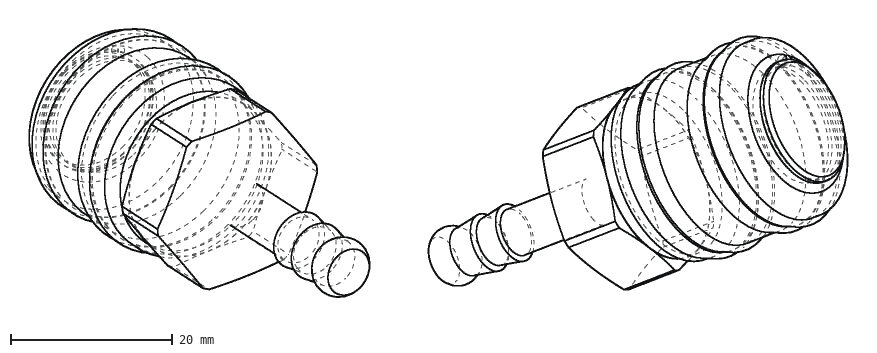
import cadquery as cq
import math

RING_X = 1.8
SLEEVE_START = 2.65
SLEEVE_END = 22.15
HEX_START = 24.1
HEX_END = 33.0
TOTAL_LENGTH = 58.0

NOSE_RADIUS = 15.95 / 2
NOSE_CHAMFER = 0.5

RING_OUTER_RADIUS = 18.0 / 2
WIRE_RADIUS = 0.75
RING_CENTRE_RADIUS = RING_OUTER_RADIUS - WIRE_RADIUS
GROOVE_RADIUS = 14.85 / 2
GAP_WIDTH = 0.95
GAP_ANGLE = 16.0

SLEEVE_RADIUS = 23.3 / 2
SLEEVE_FILLET = 0.6
RIB_RADIUS = 24.8 / 2
RIB_PAIR_STARTS = ((4.55, 7.05), (15.0, 17.65))
VALLEY_RADIUS = 11.77
RIB_CREST_FILLET = 0.5
RIB_TAPER_ANGLE = 20.0

NECK_RADIUS = 21.1 / 2
HEX_ACROSS_FLATS = 21.0
HEX_BAR_RADIUS = 23.7 / 2
HEX_TILT = 7.0
HEX_CORNER_RADIUS = HEX_ACROSS_FLATS / 2 / math.cos(math.radians(30))
HEX_CHAMFER_RADIUS = HEX_ACROSS_FLATS / 2
HEX_FRONT_CHAMFER_ANGLE = 18.0
HEX_REAR_CHAMFER_ANGLE = 15.0

TAIL_RADIUS = 6.1 / 2
TAIL_FILLET = 1.0
BARB_STARTS = (46.5, 50.25)
BARB_PEAKS = (46.7, 50.72)
BARB_RADIUS = 3.75
BARB_ROOT_RADIUS = 3.15
BEAD_START = 54.5
BEAD_RADIUS = 3.83
BEAD_PEAK_X = 56.3


def revolve_about_x(profile):
    """Turn a closed outline, drawn as (x, radius), about the X axis."""
    return profile.close().revolve(360, (0, 0, 0), (1, 0, 0))


def cylinder(start, end, radius):
    return cq.Workplane("YZ").workplane(offset=start).circle(radius).extrude(end - start)


def make_nose():
    """Chamfered front disc and the groove floor between it and the sleeve face."""
    disc_end = RING_X - WIRE_RADIUS
    disc = cylinder(0, disc_end, NOSE_RADIUS).faces("<X").chamfer(NOSE_CHAMFER)
    return disc.union(cylinder(disc_end, SLEEVE_START, GROOVE_RADIUS))


def make_rib(start):
    """Grip rib: steep front, rounded crest and a taper down to the sleeve."""
    crest_x = start + RIB_CREST_FILLET
    crest_y = RIB_RADIUS - RIB_CREST_FILLET

    def crest_point(angle):
        """Point on the crest arc, angle measured from the radial direction."""
        turn = math.radians(angle)
        return (
            crest_x + RIB_CREST_FILLET * math.sin(turn),
            crest_y + RIB_CREST_FILLET * math.cos(turn),
        )

    taper_x, taper_y = crest_point(RIB_TAPER_ANGLE)
    end = taper_x + (taper_y - SLEEVE_RADIUS) / math.tan(math.radians(RIB_TAPER_ANGLE))
    return revolve_about_x(
        cq.Workplane("XY")
        .moveTo(start, 0)
        .lineTo(start, crest_y)
        .threePointArc(crest_point(-45), (taper_x, taper_y))
        .lineTo(end, SLEEVE_RADIUS)
        .lineTo(end, 0)
    )


def make_sleeve():
    sleeve = cylinder(SLEEVE_START, SLEEVE_END, SLEEVE_RADIUS).edges().fillet(SLEEVE_FILLET)
    for first, second in RIB_PAIR_STARTS:
        valley = cylinder(first + RIB_CREST_FILLET, second, VALLEY_RADIUS)
        sleeve = sleeve.union(make_rib(first)).union(valley).union(make_rib(second))
    return sleeve


def make_hexagon():
    length = HEX_END - HEX_START
    prism = (
        cq.Workplane("YZ")
        .workplane(offset=HEX_START)
        .polygon(6, 2 * HEX_CORNER_RADIUS)
        .extrude(length)
        .rotate((0, 0, 0), (1, 0, 0), HEX_TILT)
    )
    chamfer_height = HEX_BAR_RADIUS - HEX_CHAMFER_RADIUS
    front_chamfer = chamfer_height * math.tan(math.radians(HEX_FRONT_CHAMFER_ANGLE))
    rear_chamfer = chamfer_height * math.tan(math.radians(HEX_REAR_CHAMFER_ANGLE))
    envelope = revolve_about_x(
        cq.Workplane("XY")
        .moveTo(HEX_START, 0)
        .lineTo(HEX_START, HEX_CHAMFER_RADIUS)
        .lineTo(HEX_START + front_chamfer, HEX_BAR_RADIUS)
        .lineTo(HEX_END - rear_chamfer, HEX_BAR_RADIUS)
        .lineTo(HEX_END, HEX_CHAMFER_RADIUS)
        .lineTo(HEX_END, 0)
    )
    return prism.intersect(envelope)


def make_tail():
    fillet_mid = TAIL_FILLET * (1 - math.sqrt(0.5))
    profile = (
        cq.Workplane("XY")
        .moveTo(HEX_END, 0)
        .lineTo(HEX_END, TAIL_RADIUS + TAIL_FILLET)
        .threePointArc(
            (HEX_END + fillet_mid, TAIL_RADIUS + fillet_mid),
            (HEX_END + TAIL_FILLET, TAIL_RADIUS),
        )
        .lineTo(BARB_STARTS[0], TAIL_RADIUS)
    )
    barb_ends = (BARB_STARTS[1], BEAD_START)
    for peak, end in zip(BARB_PEAKS, barb_ends):
        profile = profile.lineTo(peak, BARB_RADIUS).lineTo(end, BARB_ROOT_RADIUS)
    profile = (
        profile.threePointArc((BEAD_PEAK_X, BEAD_RADIUS), (TOTAL_LENGTH, TAIL_RADIUS))
        .lineTo(TOTAL_LENGTH, 0)
    )
    return revolve_about_x(profile)


def make_coupling():
    neck = cylinder(SLEEVE_END, HEX_START, NECK_RADIUS)
    coupling = make_nose()
    for section in (make_sleeve(), neck, make_hexagon(), make_tail()):
        coupling = coupling.union(section)
    return coupling


def make_split_ring():
    ring = (
        cq.Workplane("XY")
        .center(RING_X, RING_CENTRE_RADIUS)
        .circle(WIRE_RADIUS)
        .revolve(360, (0, -RING_CENTRE_RADIUS, 0), (1, -RING_CENTRE_RADIUS, 0))
    )
    gap_depth = 4 * WIRE_RADIUS
    gap = (
        cq.Workplane("XY")
        .box(gap_depth, GAP_WIDTH, gap_depth)
        .translate((RING_X, 0, RING_CENTRE_RADIUS))
        .rotate((0, 0, 0), (1, 0, 0), -GAP_ANGLE)
    )
    return ring.cut(gap)


coupling = make_coupling()
split_ring = make_split_ring()

result = cq.Compound.makeCompound([coupling.val(), split_ring.val()])